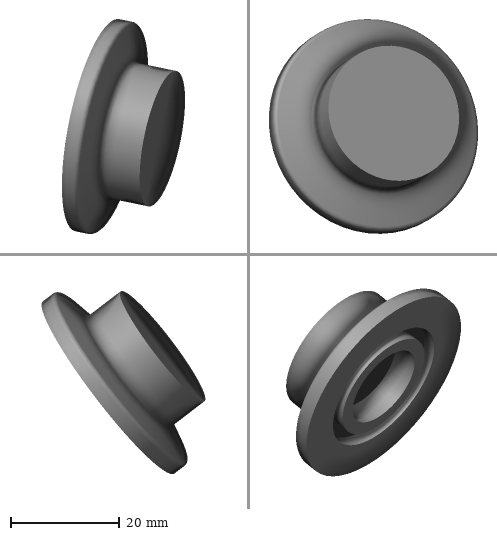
import cadquery as cq
import math

overall_length = 12.7
flange_diameter = 40.0
hub_diameter = 25.5
rim_width = 3.0
cone_angle = 15.0
blend_radius = 0.8
groove_outer_diameter = 26.2
groove_inner_diameter = 21.2
groove_depth = 2.5
bore_diameter = 16.0
window_setback = 5.0

flange_radius = flange_diameter / 2
hub_radius = hub_diameter / 2
cone_length = (flange_radius - hub_radius) * math.tan(math.radians(cone_angle))
cone_end = rim_width + cone_length
window_thickness = overall_length - window_setback


def cylinder_along_x(diameter, start, length):
    """Solid cylinder on the X axis, growing toward +X from start."""
    return cq.Workplane("YZ", origin=(start, 0, 0)).circle(diameter / 2).extrude(length)


def make_flange_blank():
    """Rim, clamping cone and hub turned in one piece, with both cone ends rounded."""
    profile = [
        (0, 0),
        (0, flange_radius),
        (rim_width, flange_radius),
        (cone_end, hub_radius),
        (overall_length, hub_radius),
        (overall_length, 0),
    ]
    blank = cq.Workplane("XY").polyline(profile).close().revolve(360, (0, 0, 0), (1, 0, 0))
    margin = 0.05
    cone_ends = cq.selectors.BoxSelector(
        (rim_width - margin, -flange_diameter, -flange_diameter),
        (cone_end + margin, flange_diameter, flange_diameter),
    )
    return blank.edges("%CIRCLE").edges(cone_ends).fillet(blend_radius)


def make_groove():
    """Annular recess in the sealing face."""
    outer = cylinder_along_x(groove_outer_diameter, 0, groove_depth)
    inner = cylinder_along_x(groove_inner_diameter, 0, groove_depth)
    return outer.cut(inner)


def make_flange():
    """Flange with its face groove and through bore."""
    bore = cylinder_along_x(bore_diameter, 0, overall_length)
    return make_flange_blank().cut(make_groove()).cut(bore)


def make_window():
    """Round window closing the bore behind the sealing face, flush with the hub end."""
    return cylinder_along_x(bore_diameter, window_setback, window_thickness)


flange = make_flange()
window = make_window()

result = cq.Compound.makeCompound([flange.val(), window.val()])